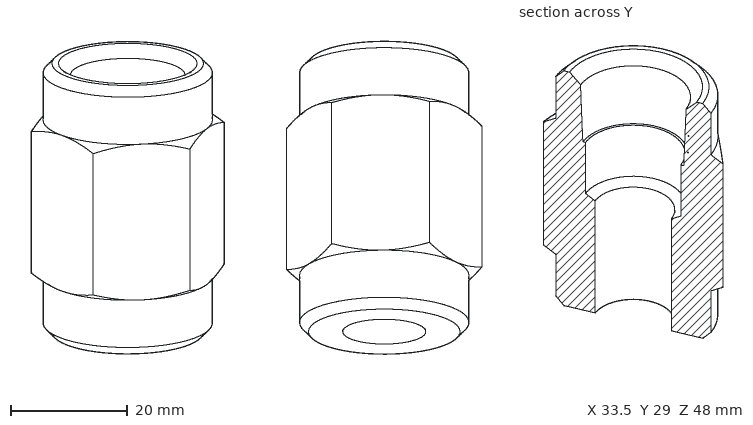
import cadquery as cq
import math

length = 48.0
half_length = length / 2
across_flats = 29.0
hex_sides = 6
across_corners = across_flats / math.cos(math.pi / hex_sides)

collar_radius = across_flats / 2
end_chamfer_width = 1.55
end_chamfer_height = 1.65

hex_height = 27.85
corner_angle = 30.0
corner_drop = (across_corners / 2 - collar_radius) * math.tan(math.radians(corner_angle))

mouth_radius = 11.85
bore_top_radius = 9.8
bore_bottom_radius = 9.35
bore_depth = 13.6
mouth_depth = mouth_radius - bore_top_radius

drill_radius = 8.9
drill_depth = half_length
drill_point_angle = 118.0
passage_radius = 7.1
seat_depth = (drill_radius - passage_radius) / math.tan(math.radians(drill_point_angle / 2))


def revolve_outline(points):
    """Revolve about Z the area between the axis and a chain of (radius, z) points that runs upwards."""
    outline = [(0, points[0][1])] + points + [(0, points[-1][1])]
    return cq.Workplane("XZ").polyline(outline).close().revolve(360, (0, 0), (0, 1))


def revolve_mirrored(upper_half):
    """Revolve an outline given above the mid plane together with its mirror image below."""
    lower_half = [(radius, -z) for radius, z in reversed(upper_half)]
    return revolve_outline(lower_half + upper_half)


def make_collars():
    return revolve_mirrored([
        (collar_radius, half_length - end_chamfer_height),
        (collar_radius - end_chamfer_width, half_length),
    ])


def make_hexagon():
    prism = (
        cq.Workplane("XY")
        .polygon(hex_sides, across_corners)
        .extrude(hex_height / 2, both=True)
    )
    turned_envelope = revolve_mirrored([
        (across_corners / 2, hex_height / 2 - corner_drop),
        (collar_radius, hex_height / 2),
    ])
    return prism.intersect(turned_envelope)


def make_bore():
    ledge_z = half_length - bore_depth
    drill_z = half_length - drill_depth
    return revolve_outline([
        (passage_radius, -half_length),
        (passage_radius, drill_z - seat_depth),
        (drill_radius, drill_z),
        (drill_radius, ledge_z),
        (bore_bottom_radius, ledge_z),
        (bore_top_radius, half_length - mouth_depth),
        (mouth_radius, half_length),
    ])


result = make_collars().union(make_hexagon()).cut(make_bore())